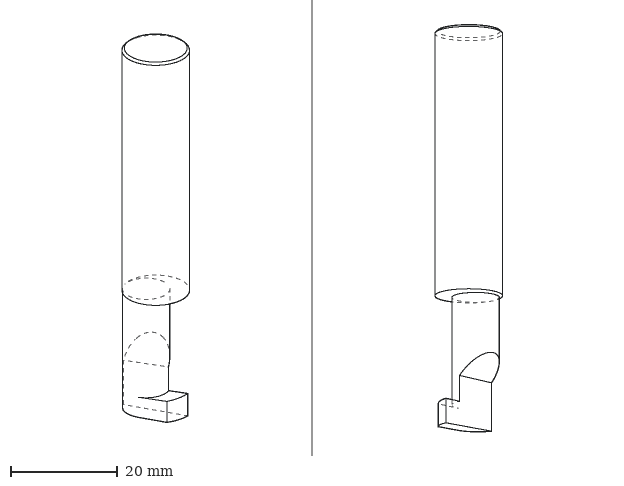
import cadquery as cq

total_length = 76.2
shank_diameter = 12.7
shank_bottom = 25.4
shank_chamfer = 0.45
neck_diameter = 8.9
relief_height = 9.7
head_height = 4.7
head_flat_end = 3.65
nose_bulge = 0.4
end_slope_x = 0.03
end_slope_y = 0.05

shank_radius = shank_diameter / 2
neck_radius = neck_diameter / 2
neck_x = neck_radius - shank_radius
tip_x = shank_radius


def make_shank():
    shank = cq.Workplane("XY").workplane(offset=shank_bottom).circle(shank_radius)
    shank = shank.extrude(total_length - shank_bottom)
    return shank.faces(">Z").edges().chamfer(shank_chamfer)


def make_neck():
    """Eccentric round neck, cut to a half round below a 45 degree run-out."""
    neck = cq.Workplane("XY").center(neck_x, 0).circle(neck_radius).extrude(shank_bottom)
    relief_depth = shank_diameter
    relief = (
        cq.Workplane("YZ")
        .polyline([
            (0, 0),
            (relief_depth, 0),
            (relief_depth, relief_height + relief_depth),
            (0, relief_height),
        ])
        .close()
        .extrude(shank_radius, both=True)
    )
    return neck.cut(relief)


def make_head():
    """Cutting head with its edge on the y = 0 plane and a round nose behind it."""
    return (
        cq.Workplane("XY")
        .moveTo(neck_x, 0)
        .lineTo(neck_x, -neck_radius)
        .lineTo(head_flat_end, -neck_radius)
        .sagittaArc((tip_x, 0), -nose_bulge)
        .close()
        .extrude(head_height)
    )


def make_end_cutter():
    """Block below the sloping end face, which touches z = 0 only at the tip."""
    end_plane = cq.Plane(
        origin=(tip_x, 0, 0),
        xDir=(1, 0, -end_slope_x),
        normal=(end_slope_x, end_slope_y, 1),
    )
    cutter_side = 4 * shank_diameter
    return cq.Workplane(end_plane).rect(cutter_side, cutter_side).extrude(-shank_diameter)


result = make_shank().union(make_neck()).union(make_head()).cut(make_end_cutter())